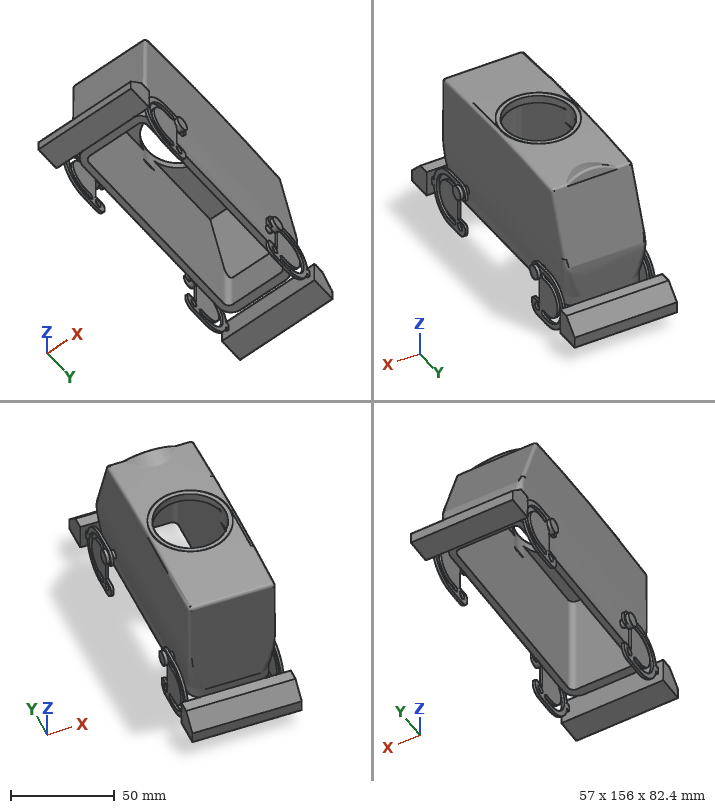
import cadquery as cq
import math


HALF_WIDTH = 22.6
FRONT_Y = -60.0
BACK_Y = 59.9
TOP_FRONT_Y = -59.3
TOP_BACK_Y = 45.4
PEAK_Y = -6.0
PEAK_Z = 64.9
CROWN_RADIUS = 624.0
CORNER_RADIUS = 1.7
TOP_FILLET = 1.9
TRIM_ALLOWANCE = 0.03

RIM_Z = 5.5
TAPER_Z = 12.2
BELT_Z = 28.7
BELT_BACK_Y = 57.9
BASE_CORNER_RADIUS = 7.6
CORNER_GROWTH = 1.7
TAPER_DEPTH = 0.8
BACK_BEND_LENGTH = 2.2
BULGE_SECTIONS = 9

CAVITY_HALF_WIDTH = 17.8
CAVITY_CORNER_RADIUS = 3.1
END_WALL = 4.8
ROOF_Z = 60.2
OPENING_RADIUS = 18.3
OPENING_DEPTH = 12.5
SPOTFACE_RADIUS = 20.6
SPOTFACE_DEPTH = 0.5

BUMP_RADIUS = 26.5
BUMP_HEIGHT = 4.2
BUMP_HALF_WIDTH = 15.6
BUMP_LENGTH = 15.6
BUMP_FILLET = 1.4
BUMP_ROOT_FILLET = 1.0

OVERALL_LENGTH = 156.0
GRIP_WIDTH = 57.0
GRIP_SIZE = 14.0
GRIP_CHAMFER = 8.0
GRIP_TOP_Z = RIM_Z
PLATE_INNER_X = 24.2
PLATE_THICKNESS = 1.4
LEVER_Z = -0.6
BOW_Y = 46.8
BOW_RADIUS = 15.5
PLATE_EDGE_Y = 38.8
ARM_HEIGHT = 8.3
ARM_END_RADIUS = 5.0
ARM_TIP_RADIUS = 1.9
NECK_HEIGHT = 3.9
SLOT_OUTER_RADIUS = 12.6
SLOT_INNER_RADIUS = 9.7
SLOT_END_Y = 41.3
HOLE_RADIUS = 2.0

PIN_Y = 37.0
PIN_RADIUS = 2.2
PIN_HEAD_RADIUS = 3.7
PIN_HEAD_X = 27.5
PIN_ROOT_X = 20.3


def crown_z(y):
    return PEAK_Z - CROWN_RADIUS + math.sqrt(CROWN_RADIUS ** 2 - (y - PEAK_Y) ** 2)


TOP_BACK_Z = crown_z(TOP_BACK_Y)
TOP_FRONT_Z = crown_z(TOP_FRONT_Y)
FRONT_SLOPE = (TOP_FRONT_Y - FRONT_Y) / (TOP_FRONT_Z - RIM_Z)
BACK_SLOPE = (BELT_BACK_Y - TOP_BACK_Y) / (TOP_BACK_Z - BELT_Z)
BACK_ANGLE = math.atan(BACK_SLOPE)
BACK_CORNER_Z = BELT_Z - (BACK_Y - BELT_BACK_Y) / BACK_SLOPE
BULGE_RADIUS = ((BELT_Z - TAPER_Z) ** 2 + TAPER_DEPTH ** 2) / (2 * TAPER_DEPTH)
RIM_HALF_WIDTH = HALF_WIDTH - TAPER_DEPTH - (TAPER_Z - RIM_Z) * (BELT_Z - TAPER_Z) / BULGE_RADIUS


def front_wall_y(z):
    return FRONT_Y + (z - RIM_Z) * FRONT_SLOPE


def back_wall_y(z):
    """Back wall position: vertical below, sloped above, with a round bend between."""
    bend_radius = BACK_BEND_LENGTH / math.tan(BACK_ANGLE / 2)
    bend_start = BACK_CORNER_Z - BACK_BEND_LENGTH
    bend_end = BACK_CORNER_Z + BACK_BEND_LENGTH * math.cos(BACK_ANGLE)
    if z <= bend_start:
        return BACK_Y
    if z < bend_end:
        return BACK_Y - bend_radius + math.sqrt(bend_radius ** 2 - (z - bend_start) ** 2)
    return BACK_Y - (z - BACK_CORNER_Z) * BACK_SLOPE


def corner_radius(z):
    depth = (BELT_Z - z) / (BELT_Z - RIM_Z)
    return CORNER_RADIUS + (BASE_CORNER_RADIUS - CORNER_RADIUS) * depth ** CORNER_GROWTH


def side_wall_x(z):
    return HALF_WIDTH - BULGE_RADIUS + math.sqrt(BULGE_RADIUS ** 2 - (BELT_Z - z) ** 2)


def section_wire(z, half_width):
    """Rounded rectangular hood outline at height z."""
    back = back_wall_y(z) + TRIM_ALLOWANCE
    front = front_wall_y(z) - TRIM_ALLOWANCE
    sketch = cq.Sketch().rect(2 * half_width, back - front).vertices().fillet(corner_radius(z))
    place = cq.Location(cq.Vector(0, (back + front) / 2, z))
    return sketch.reset().faces().val().outerWire().moved(place)


def hood_base():
    """Straight rim, straight taper above it and bulging walls up to the belt."""
    rim_wire = section_wire(RIM_Z, RIM_HALF_WIDTH)
    rim = cq.Workplane(cq.Solid.extrudeLinear(rim_wire, [], cq.Vector(0, 0, -RIM_Z)))
    taper_wire = section_wire(TAPER_Z, side_wall_x(TAPER_Z))
    taper = cq.Workplane(cq.Solid.makeLoft([rim_wire, taper_wire], True))
    step = (BELT_Z - TAPER_Z) / (BULGE_SECTIONS - 1)
    levels = [TAPER_Z + i * step for i in range(BULGE_SECTIONS)]
    bulge = cq.Workplane(cq.Solid.makeLoft([section_wire(z, side_wall_x(z)) for z in levels]))
    return rim.union(taper).union(bulge)


def bump():
    """Round-backed bump whose axis is square to the sloped back wall."""
    along_wall = (0, math.cos(BACK_ANGLE), math.sin(BACK_ANGLE))
    top_edge = (0, TOP_BACK_Y + TRIM_ALLOWANCE, TOP_BACK_Z)
    back_plane = cq.Plane(origin=top_edge, xDir=(-1, 0, 0), normal=along_wall)
    sag = BUMP_RADIUS - math.sqrt(BUMP_RADIUS ** 2 - BUMP_HALF_WIDTH ** 2)
    solid = (
        cq.Workplane(back_plane)
        .moveTo(-BUMP_HALF_WIDTH, BUMP_HEIGHT - sag)
        .threePointArc((0, BUMP_HEIGHT), (BUMP_HALF_WIDTH, BUMP_HEIGHT - sag))
        .close()
        .extrude(-BUMP_LENGTH)
    )
    outer_face = solid.faces(cq.selectors.DirectionMinMaxSelector(cq.Vector(*along_wall)))
    return outer_face.edges("%CIRCLE").fillet(BUMP_FILLET)


def hood_top():
    """Body above the belt, with an arched top, rounded edges and the bump."""
    block = (
        cq.Workplane("YZ", origin=(-HALF_WIDTH, 0, 0))
        .moveTo(front_wall_y(BELT_Z) - TRIM_ALLOWANCE, BELT_Z)
        .lineTo(BELT_BACK_Y + TRIM_ALLOWANCE, BELT_Z)
        .lineTo(TOP_BACK_Y + TRIM_ALLOWANCE, TOP_BACK_Z)
        .threePointArc((PEAK_Y, PEAK_Z), (TOP_FRONT_Y - TRIM_ALLOWANCE, TOP_FRONT_Z))
        .close()
        .extrude(2 * HALF_WIDTH)
    )
    upright_edges = block.edges("not(#Z or |X)").edges("%LINE")
    block = upright_edges.fillet(CORNER_RADIUS)
    block = block.faces(">Z").edges().fillet(TOP_FILLET).union(bump())
    bump_root = cq.selectors.BoxSelector(
        (-BUMP_HEIGHT, TOP_BACK_Y - BUMP_LENGTH, TOP_BACK_Z - BUMP_HEIGHT),
        (BUMP_HEIGHT, TOP_BACK_Y - BUMP_HEIGHT, TOP_BACK_Z + BUMP_HEIGHT),
    )
    return block.edges(bump_root).fillet(BUMP_ROOT_FILLET)


def wall_trimmer(low_y, low_z, high_y, high_z, outward):
    """Wedge outside an end wall that planes it flat along the line from low to high."""
    far_y = low_y + outward * HALF_WIDTH
    return (
        cq.Workplane("YZ", origin=(-HALF_WIDTH, 0, 0))
        .moveTo(low_y, low_z)
        .lineTo(high_y, high_z)
        .lineTo(far_y, high_z)
        .lineTo(far_y, low_z)
        .close()
        .extrude(2 * HALF_WIDTH)
    )


def hood_cavity():
    roof_back_y = back_wall_y(ROOF_Z) - END_WALL
    cavity = (
        cq.Workplane("YZ", origin=(-CAVITY_HALF_WIDTH, 0, 0))
        .moveTo(FRONT_Y + END_WALL, 0)
        .lineTo(BACK_Y - END_WALL, 0)
        .lineTo(BACK_Y - END_WALL, BACK_CORNER_Z)
        .lineTo(roof_back_y, ROOF_Z)
        .lineTo(FRONT_Y + END_WALL, ROOF_Z)
        .close()
        .extrude(2 * CAVITY_HALF_WIDTH)
    )
    return cavity.edges("|Z").fillet(CAVITY_CORNER_RADIUS)


def cable_opening():
    top = cq.Workplane("XY", origin=(0, PEAK_Y, PEAK_Z))
    hole = top.circle(OPENING_RADIUS).extrude(-OPENING_DEPTH)
    return hole.union(top.circle(SPOTFACE_RADIUS).extrude(SPOTFACE_DEPTH, both=True))


def make_hood():
    trim_top_z = PEAK_Z + BUMP_HEIGHT
    front_trimmer = wall_trimmer(FRONT_Y, RIM_Z, front_wall_y(trim_top_z), trim_top_z, -1)
    back_trimmer = wall_trimmer(BACK_Y, BACK_CORNER_Z, back_wall_y(trim_top_z), trim_top_z, 1)
    shell = hood_base().union(hood_top()).cut(front_trimmer).cut(back_trimmer)
    return shell.cut(hood_cavity()).cut(cable_opening())


def lever_slot(x):
    """C-shaped slot that follows the bow of the lever plate, with round ends."""
    mid_radius = (SLOT_OUTER_RADIUS + SLOT_INNER_RADIUS) / 2
    width = SLOT_OUTER_RADIUS - SLOT_INNER_RADIUS
    path_end_y = SLOT_END_Y + width / 2
    path = (
        cq.Workplane("YZ", origin=(x, BOW_Y, LEVER_Z))
        .moveTo(path_end_y - BOW_Y, mid_radius)
        .lineTo(0, mid_radius)
        .threePointArc((mid_radius, 0), (0, -mid_radius))
        .lineTo(path_end_y - BOW_Y, -mid_radius)
    )
    return path.offset2D(width / 2).extrude(PLATE_THICKNESS)


def lever_plate(x):
    """Bow-shaped side plate with an arm above and below, occupying x to x + thickness."""
    arm_end_y = PIN_Y - ARM_END_RADIUS
    arm_inner = BOW_RADIUS - ARM_HEIGHT
    base = cq.Workplane("YZ", origin=(x, 0, LEVER_Z))
    plate = (
        base.moveTo(arm_end_y, BOW_RADIUS)
        .lineTo(BOW_Y, BOW_RADIUS)
        .threePointArc((BOW_Y + BOW_RADIUS, 0), (BOW_Y, -BOW_RADIUS))
        .lineTo(arm_end_y, -BOW_RADIUS)
        .lineTo(arm_end_y, -arm_inner)
        .lineTo(PLATE_EDGE_Y, -arm_inner)
        .lineTo(PLATE_EDGE_Y, arm_inner)
        .lineTo(arm_end_y, arm_inner)
        .close()
        .extrude(PLATE_THICKNESS)
    )
    plate = plate.faces("<Y").edges("|X").edges("<Z or >Z").fillet(ARM_END_RADIUS)
    tips = cq.selectors.BoxSelector(
        (x - PLATE_THICKNESS, arm_end_y - ARM_TIP_RADIUS, LEVER_Z - arm_inner - ARM_TIP_RADIUS),
        (x + 2 * PLATE_THICKNESS, arm_end_y + ARM_TIP_RADIUS, LEVER_Z + arm_inner + ARM_TIP_RADIUS),
    )
    plate = plate.edges("|X").edges(tips).fillet(ARM_TIP_RADIUS)
    neck_end_y = OVERALL_LENGTH / 2 - GRIP_SIZE
    neck_start_y = BOW_Y + SLOT_OUTER_RADIUS
    neck = (
        base.center((neck_start_y + neck_end_y) / 2, 0)
        .rect(neck_end_y - neck_start_y, NECK_HEIGHT)
        .extrude(PLATE_THICKNESS)
    )
    hole = base.center(PIN_Y, ARM_END_RADIUS - BOW_RADIUS).circle(HOLE_RADIUS).extrude(PLATE_THICKNESS)
    return plate.union(neck).cut(lever_slot(x)).cut(hole)


def grip():
    outer_y = OVERALL_LENGTH / 2
    return (
        cq.Workplane("YZ", origin=(-GRIP_WIDTH / 2, 0, 0))
        .moveTo(outer_y - GRIP_SIZE, GRIP_TOP_Z - GRIP_SIZE)
        .lineTo(outer_y, GRIP_TOP_Z - GRIP_SIZE)
        .lineTo(outer_y, GRIP_TOP_Z - GRIP_CHAMFER)
        .lineTo(outer_y - GRIP_CHAMFER, GRIP_TOP_Z)
        .lineTo(outer_y - GRIP_SIZE, GRIP_TOP_Z)
        .close()
        .extrude(GRIP_WIDTH)
    )


def pivot_pin():
    """Headed pin on the +X side, from inside the hood wall to beyond the lever plate."""
    pin_z = LEVER_Z + BOW_RADIUS - ARM_END_RADIUS
    root = cq.Workplane("YZ", origin=(PIN_ROOT_X, PIN_Y, pin_z))
    shank = root.circle(PIN_RADIUS).extrude(PIN_HEAD_X - PIN_ROOT_X)
    head = root.workplane(offset=PLATE_INNER_X - PIN_ROOT_X).circle(PIN_HEAD_RADIUS)
    return shank.union(head.extrude(PIN_HEAD_X - PLATE_INNER_X))


def make_lever():
    """Rear lever: a grip bar across two side plates, each with its pivot pin."""
    side = lever_plate(PLATE_INNER_X).union(pivot_pin())
    return grip().union(side).union(side.mirror("YZ"))


rear_lever_blank = make_lever()
hood = make_hood()
rear_lever = rear_lever_blank.cut(hood)
hood_with_front_lever = hood.union(rear_lever_blank.mirror("XZ"))

result = cq.Compound.makeCompound([hood_with_front_lever.val(), rear_lever.val()])